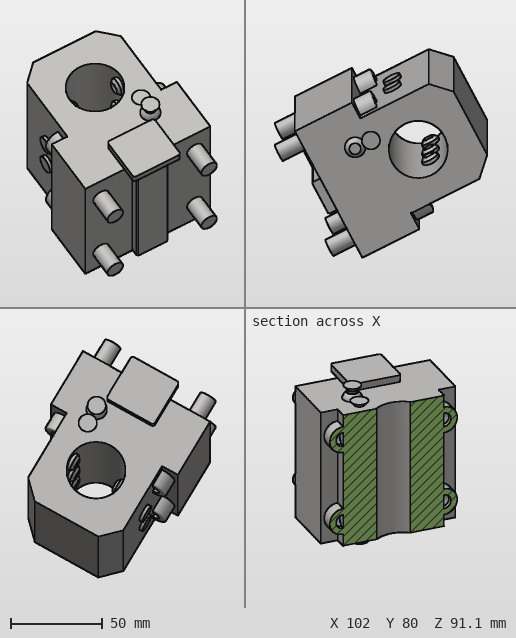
import cadquery as cq

total_length = 102.0
height = 80.0
flange_width = 80.0

bolt_reach = 15.0
body_length = total_length - bolt_reach
body_width = 60.0
flange_start = 52.0
corner_chamfer = 10.0
bore_radius = 16.0
bore_x = 32.0
mid_height = height / 2

set_screw_radius = 5.0
set_screw_spacing = 18.0
set_screw_proud = 2.0
set_screw_tip_y = 11.9
set_screw_tip_radius = 3.2
set_screw_cup_depth = 2.0

blind_screw_z = 70.6
blind_screw_length = 15.0

bolt_radius = 5.0
bolt_head_radius = 8.0
bolt_head_length = 10.0
bolt_head_rounding = 0.8
bolt_socket_radius = 4.0
bolt_socket_depth = 5.0
bolt_socket_cone_depth = 2.3
bolt_spacing_y = body_width
bolt_spacing_z = 50.0

coolant_y = 16.9
plug_x = 52.3
plug_proud = 2.5
ball_x = 62.0
ball_radius = 5.8
ball_sink = 1.4
ball_flat_height = 3.5
ball_screw_proud = 7.6
countersunk_head_radius = 5.0
countersunk_neck_radius = 2.5
countersunk_head_height = 2.8
embed_depth = 5.1

top_plate_start = 69.0
top_plate_length = 27.9
top_plate_width = 30.0
top_plate_thickness = 4.2
top_plate_corner_radius = 1.5

key_thickness = 5.2
key_width = 20.0
key_end_gap = 0.8
key_chamfer = 0.8


def make_body():
    """Chamfered block with a wider back flange and a vertical through bore."""
    block = (
        cq.Workplane("XY")
        .box(body_length, body_width, height, centered=(False, True, False))
        .edges("|Z and <X")
        .chamfer(corner_chamfer)
    )
    flange = (
        cq.Workplane("XY")
        .box(body_length - flange_start, flange_width, height, centered=(False, True, False))
        .translate((flange_start, 0, 0))
    )
    bore = cq.Workplane("XY").center(bore_x, 0).circle(bore_radius).extrude(height)
    return block.union(flange).cut(bore)


def make_set_screw(outer_y):
    """Cup point screw on the Y axis, with its cup towards the origin."""
    tip_length = set_screw_radius - set_screw_tip_radius
    return (
        cq.Workplane("XY")
        .moveTo(0, set_screw_tip_y + set_screw_cup_depth)
        .lineTo(set_screw_tip_radius, set_screw_tip_y)
        .lineTo(set_screw_radius, set_screw_tip_y + tip_length)
        .lineTo(set_screw_radius, outer_y)
        .lineTo(0, outer_y)
        .close()
        .revolve(360, (0, 0), (0, 1))
    )


def make_bolt():
    """Bolt on the X axis: head seated on the flange front, cone-bottomed socket."""
    head_start = flange_start - bolt_head_length
    head = (
        cq.Workplane("YZ", origin=(head_start, 0, 0))
        .circle(bolt_head_radius)
        .extrude(bolt_head_length)
        .faces("<X")
        .edges()
        .fillet(bolt_head_rounding)
    )
    socket = (
        cq.Workplane("XZ")
        .moveTo(head_start, 0)
        .lineTo(head_start, bolt_socket_radius)
        .lineTo(head_start + bolt_socket_depth, bolt_socket_radius)
        .lineTo(head_start + bolt_socket_depth + bolt_socket_cone_depth, 0)
        .close()
        .revolve(360, (0, 0), (1, 0))
    )
    shank = (
        cq.Workplane("YZ", origin=(flange_start, 0, 0))
        .circle(bolt_radius)
        .extrude(total_length - flange_start)
    )
    return head.cut(socket).union(shank)


def make_countersunk_screw(proud):
    """Countersunk screw on the Z axis, its flat head standing proud of Z = 0."""
    return (
        cq.Workplane("XZ")
        .moveTo(0, -embed_depth)
        .lineTo(countersunk_neck_radius, -embed_depth)
        .lineTo(countersunk_neck_radius, proud - countersunk_head_height)
        .lineTo(countersunk_head_radius, proud)
        .lineTo(0, proud)
        .close()
        .revolve(360, (0, 0), (0, 1))
    )


def make_ball():
    """Coolant ball sunk below Z = 0, with its top cut flat."""
    ball = cq.Workplane("XY").sphere(ball_radius).translate((0, 0, -ball_sink))
    cutter = (
        cq.Workplane("XY", origin=(0, 0, ball_flat_height))
        .rect(2 * ball_radius, 2 * ball_radius)
        .extrude(ball_radius)
    )
    return ball.cut(cutter)


def make_coolant_fittings():
    """Plug screws and balls on both end faces; only the top ball carries a screw."""
    end_fittings = (
        make_countersunk_screw(plug_proud)
        .translate((plug_x, coolant_y, 0))
        .union(make_ball().translate((ball_x, coolant_y, 0)))
    )
    ball_screw = make_countersunk_screw(ball_screw_proud).translate((ball_x, coolant_y, 0))
    top_fittings = end_fittings.union(ball_screw).translate((0, 0, height))
    return top_fittings.union(end_fittings.mirror("XY"))


def make_top_plate():
    """Flat plate with rounded corners lying on the top face."""
    return (
        cq.Workplane("XY")
        .box(top_plate_length, top_plate_width, top_plate_thickness, centered=(False, True, False))
        .edges("|Z")
        .fillet(top_plate_corner_radius)
        .translate((top_plate_start, 0, height))
    )


def make_key():
    """Upright key on the back face with its long outer edges chamfered."""
    return (
        cq.Workplane("XY")
        .box(key_thickness, key_width, height - 2 * key_end_gap, centered=(False, True, False))
        .edges("|Z and >X")
        .chamfer(key_chamfer)
        .translate((body_length, 0, key_end_gap))
    )


result = make_body()

proud_screw = make_set_screw(body_width / 2 + set_screw_proud)
blind_screw = make_set_screw(set_screw_tip_y + blind_screw_length)
side_screws = (
    proud_screw.translate((bore_x, 0, mid_height - set_screw_spacing / 2))
    .union(proud_screw.translate((bore_x, 0, mid_height + set_screw_spacing / 2)))
    .union(blind_screw.translate((bore_x, 0, blind_screw_z)))
)
result = result.union(side_screws).union(side_screws.mirror("XZ"))

bolt = make_bolt()
for bolt_y in (-bolt_spacing_y / 2, bolt_spacing_y / 2):
    for offset_z in (-bolt_spacing_z / 2, bolt_spacing_z / 2):
        result = result.union(bolt.translate((0, bolt_y, mid_height + offset_z)))

result = result.union(make_coolant_fittings()).union(make_top_plate()).union(make_key())